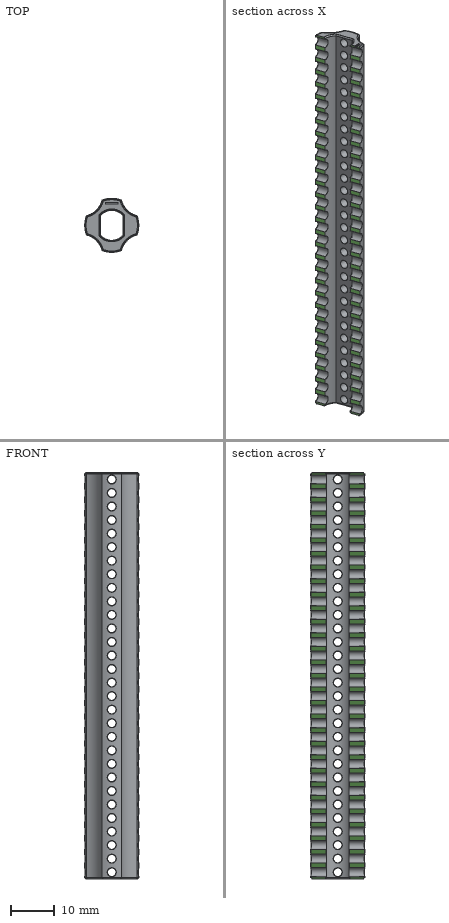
import cadquery as cq
import math

length = 93.75
outer_diameter = 12.5
outer_radius = outer_diameter / 2
lobe_width = 4.4
flute_floor_radius = 5.0
end_chamfer = 0.3

bore_radius = 3.5
bore_width = 5.25

holes_per_row = 30
hole_diameter = 2.0
hole_pitch = length / holes_per_row

mark_length = 2.8
mark_width = 0.4
mark_depth = 0.4
mark_y = 5.1


def polar(radius, angle):
    """Point at a radius and an angle in degrees."""
    return radius * math.cos(math.radians(angle)), radius * math.sin(math.radians(angle))


def make_tube():
    """Four-lobed bar: lobes on the outer circle, concave flutes on the diagonals."""
    lobe_half_angle = math.degrees(math.asin(lobe_width / 2 / outer_radius))
    outline = cq.Workplane("XY").moveTo(*polar(outer_radius, -lobe_half_angle))
    for lobe_angle in (0, 90, 180, 270):
        lobe_end = polar(outer_radius, lobe_angle + lobe_half_angle)
        next_lobe_start = polar(outer_radius, lobe_angle + 90 - lobe_half_angle)
        outline = outline.threePointArc(polar(outer_radius, lobe_angle), lobe_end)
        outline = outline.threePointArc(polar(flute_floor_radius, lobe_angle + 45), next_lobe_start)
    return outline.close().extrude(length)


def make_bore():
    """Solid that fills the double-D bore."""
    round_bore = cq.Workplane("XY").circle(bore_radius).extrude(length)
    flats = cq.Workplane("XY").rect(bore_width, 2 * bore_radius).extrude(length)
    return round_bore.intersect(flats)


def make_hole_row(plane):
    """A row of round pins, spaced along Z, that reach past both sides of the tube."""
    centres = [(0, (index + 0.5) * hole_pitch) for index in range(holes_per_row)]
    return (
        cq.Workplane(plane)
        .pushPoints(centres)
        .circle(hole_diameter / 2)
        .extrude(outer_diameter, both=True)
    )


def make_index_mark():
    """Shallow bar that fills the index mark."""
    return (
        cq.Workplane("XY", origin=(0, mark_y, length - mark_depth))
        .rect(mark_length, mark_width)
        .extrude(mark_depth)
    )


tube = make_tube().cut(make_bore())
tube = tube.faces("<Z or >Z").edges().chamfer(end_chamfer)

result = tube.cut(make_hole_row("XZ")).cut(make_hole_row("YZ")).cut(make_index_mark())